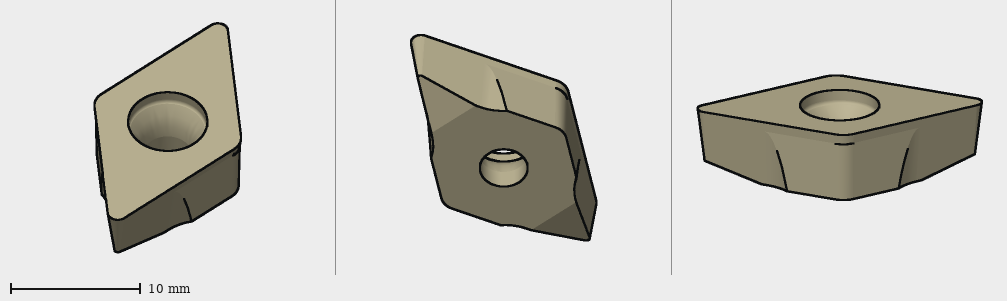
import cadquery as cq
import math

inscribed_radius = 5.498
thickness = 5.53
acute_angle = 55
nose_radius = 0.79
obtuse_radius = 1.6
clearance_angle = 7

band_height = 0.83
pad_length = 6.86
pad_runout_radius = 4.0
pad_draft_angle = 1
pad_overrun = 2.95

relief_start = 6.18
relief_angle = 16

bore_diameter = 3.7
counterbore_diameter = 6.12
counterbore_depth = 0.87
lip_diameter = 5.8
lip_depth = 1.18
lip_bulge = 0.04
seat_depth = 3.78
seat_bulge = 0.25

half_acute = math.radians(acute_angle / 2)
pad_inset = band_height * math.tan(math.radians(clearance_angle))
long_diagonal_angle = 90 + acute_angle / 2
tool_size = 19.67


def polar(distance, angle):
    """Vector in the XY plane at an angle in degrees from +X."""
    radians = math.radians(angle)
    return cq.Vector(distance * math.cos(radians), distance * math.sin(radians))


upper_normal = polar(1, acute_angle)
left_normal = polar(1, 180)
lower_normal = upper_normal * -1
nose_direction = polar(1, long_diagonal_angle)
corner_direction = polar(1, long_diagonal_angle + 90)


def rounded_corner(radius, diagonal, half_angle, start_normal, end_normal):
    """Start, middle and end of the arc that rounds one corner of the rhombus."""
    centre = diagonal * ((inscribed_radius - radius) / math.sin(half_angle))
    return [centre + direction * radius for direction in (start_normal, diagonal, end_normal)]


def drafted_body():
    nose = rounded_corner(nose_radius, nose_direction, half_acute, upper_normal, left_normal)
    corner = rounded_corner(
        obtuse_radius, corner_direction, math.pi / 2 - half_acute, left_normal, lower_normal
    )
    opposite_arcs = [[point * -1 for point in arc] for arc in (nose, corner)]
    arcs = [nose, corner] + opposite_arcs
    outline = cq.Workplane("XY").moveTo(*arcs[-1][-1].toTuple()[:2])
    for start, middle, end in arcs:
        outline = outline.lineTo(start.x, start.y)
        outline = outline.threePointArc((middle.x, middle.y), (end.x, end.y))
    return outline.close().extrude(-thickness, taper=clearance_angle)


def pad_runout():
    """Cutter on the left wall: tangent to the drafted wall, rounded toward the pad."""
    corner_y = -inscribed_radius * math.tan(half_acute)
    diameter = 2 * pad_runout_radius
    cutter = (
        cq.Workplane("XY")
        .moveTo(0, tool_size)
        .lineTo(0, 0)
        .threePointArc((-pad_runout_radius, -pad_runout_radius), (-diameter, 0))
        .lineTo(-diameter, tool_size)
        .close()
        .extrude(tool_size, both=True)
    )
    cutter = cutter.rotate((0, 0, 0), (0, 1, 0), -clearance_angle)
    return cutter.translate((-inscribed_radius, corner_y + pad_length, 0))


def upright_pads():
    reach = inscribed_radius - pad_inset
    corner = corner_direction * (reach / math.cos(half_acute))
    wall_length = pad_length + pad_overrun
    wall_ends = [corner + polar(wall_length, 90), corner, corner + polar(wall_length, acute_angle - 90)]
    outline = wall_ends + [point * -1 for point in wall_ends]
    pads = (
        cq.Workplane("XY", origin=(0, 0, -band_height))
        .polyline([(point.x, point.y) for point in outline])
        .close()
        .extrude(band_height - thickness, taper=pad_draft_angle)
    )
    for point in (corner, corner * -1):
        nearest = cq.selectors.NearestToPointSelector((point.x, point.y, -(band_height + thickness) / 2))
        pads = pads.edges(nearest).fillet(obtuse_radius - pad_inset)

    left_runout = pad_runout()
    for runout in (left_runout, left_runout.mirror(corner_direction)):
        pads = pads.cut(runout).cut(runout.mirror(nose_direction))
    return pads


def nose_relief():
    """Wedge that slopes up from the bottom face toward the upper-left nose."""
    rise = tool_size * math.tan(math.radians(relief_angle))
    section = cq.Plane(
        origin=(0, 0, -thickness), xDir=nose_direction, normal=corner_direction * -1
    )
    start = relief_start
    end = start + tool_size
    return (
        cq.Workplane(section)
        .polyline([(start, 0), (end, rise), (end, -rise), (start, -rise)])
        .close()
        .extrude(tool_size, both=True)
    )


def arc_middle(start, end, bulge):
    """Middle of an arc that bulges to the right of its direction of travel when bulge is positive."""
    run = end - start
    middle = (start + end) * 0.5 + cq.Vector(run.y, -run.x).normalized() * bulge
    return middle.x, middle.y


def screw_hole():
    """Revolved cutter: counterbore, small round at its foot, convex screw seat and bore."""
    bore_radius = bore_diameter / 2
    counterbore_foot = cq.Vector(counterbore_diameter / 2, -counterbore_depth)
    seat_top = cq.Vector(lip_diameter / 2, -lip_depth)
    seat_bottom = cq.Vector(bore_radius, -seat_depth)
    return (
        cq.Workplane("XZ")
        .lineTo(counterbore_foot.x, 0)
        .lineTo(counterbore_foot.x, counterbore_foot.y)
        .threePointArc(arc_middle(counterbore_foot, seat_top, -lip_bulge), (seat_top.x, seat_top.y))
        .threePointArc(arc_middle(seat_top, seat_bottom, seat_bulge), (seat_bottom.x, seat_bottom.y))
        .lineTo(bore_radius, -thickness)
        .lineTo(0, -thickness)
        .close()
        .revolve(360, (0, 0), (0, 1))
    )


relief = nose_relief()
result = (
    drafted_body()
    .union(upright_pads())
    .cut(relief)
    .cut(relief.mirror(nose_direction))
    .cut(screw_hole())
)